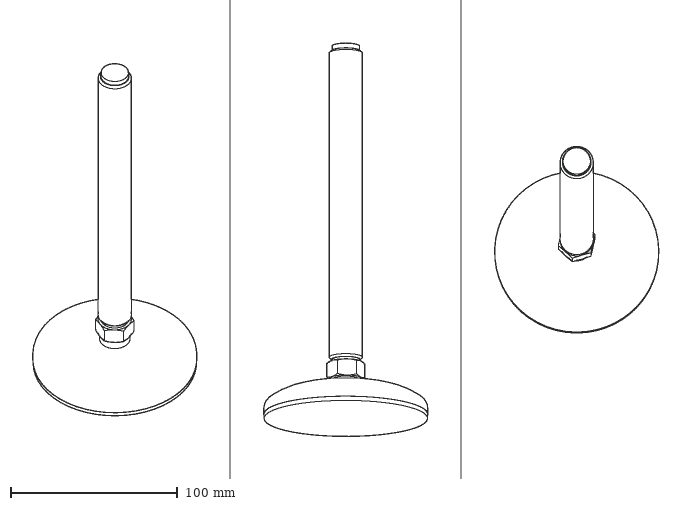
import cadquery as cq
import math

TOTAL_HEIGHT = 229.2

PAD_DIAMETER = 98.62
BASE_DIAMETER = 98.2
BASE_HEIGHT = 2.6
RIM_TOP = 6.0
SHOULDER_DIAMETER = 92.2
SHOULDER_TOP = 11.5
PAD_FLAT_DIAMETER = 44.6
PAD_HEIGHT = 19.0

CONE_DIAMETER = 18.32
STEM_DIAMETER = 14.3
CONE_TOP = 22.5

HEX_SIDES = 6
HEX_ACROSS_FLATS = 20.0
HEX_BOTTOM = 24.5
HEX_TOP = 34.5
HEX_CHAMFER_ANGLE = 30.0

SPINDLE_DIAMETER = 20.0
SPINDLE_END_DIAMETER = 16.5
SPINDLE_CHAMFER = 1.35
SPINDLE_BOTTOM = 36.3
TOP_PIN_LENGTH = 3.0


def revolve_about_z(profile):
    """Turn a closed half profile drawn on the XZ plane around the Z axis."""
    return profile.revolve(360, (0, 0, 0), (0, 1, 0))


def make_pad():
    """Revolve the pad; the dome starts level and the shoulder meets the rim upright."""
    pad_radius = PAD_DIAMETER / 2
    shoulder_radius = SHOULDER_DIAMETER / 2
    shoulder = (shoulder_radius, SHOULDER_TOP)
    dome_edge = (PAD_FLAT_DIAMETER / 2, PAD_HEIGHT)
    dome_drop = PAD_HEIGHT - SHOULDER_TOP
    dome_run = shoulder_radius - PAD_FLAT_DIAMETER / 2
    dome_radius = (dome_run**2 + dome_drop**2) / (2 * dome_drop)
    profile = (
        cq.Workplane("XZ")
        .lineTo(BASE_DIAMETER / 2, 0)
        .lineTo(BASE_DIAMETER / 2, BASE_HEIGHT)
        .lineTo(pad_radius, BASE_HEIGHT)
        .lineTo(pad_radius, RIM_TOP)
        .tangentArcPoint(shoulder, relative=False)
        .radiusArc(dome_edge, -dome_radius)
        .lineTo(0, PAD_HEIGHT)
        .close()
    )
    return revolve_about_z(profile)


def make_stem():
    """Revolve the cone and the short cylinder that carry the hexagon."""
    profile = (
        cq.Workplane("XZ")
        .moveTo(0, PAD_HEIGHT)
        .lineTo(CONE_DIAMETER / 2, PAD_HEIGHT)
        .lineTo(STEM_DIAMETER / 2, CONE_TOP)
        .lineTo(STEM_DIAMETER / 2, HEX_BOTTOM)
        .lineTo(0, HEX_BOTTOM)
        .close()
    )
    return revolve_about_z(profile)


def make_hexagon():
    """Hexagonal prism whose corners are turned off by a cone at both ends."""
    half_sector = 180 / HEX_SIDES
    across_corners = HEX_ACROSS_FLATS / math.cos(math.radians(half_sector))
    corner_radius = across_corners / 2
    flat_radius = HEX_ACROSS_FLATS / 2
    corner_drop = (corner_radius - flat_radius) * math.tan(math.radians(HEX_CHAMFER_ANGLE))
    height = HEX_TOP - HEX_BOTTOM
    prism = (
        cq.Workplane("XY", origin=(0, 0, HEX_BOTTOM))
        .polygon(HEX_SIDES, across_corners)
        .extrude(height)
        .rotate((0, 0, 0), (0, 0, 1), half_sector)
    )
    turned_profile = (
        cq.Workplane("XZ")
        .moveTo(0, HEX_BOTTOM)
        .lineTo(flat_radius, HEX_BOTTOM)
        .lineTo(corner_radius, HEX_BOTTOM + corner_drop)
        .lineTo(corner_radius, HEX_TOP - corner_drop)
        .lineTo(flat_radius, HEX_TOP)
        .lineTo(0, HEX_TOP)
        .close()
    )
    return prism.intersect(revolve_about_z(turned_profile))


def make_spindle():
    """Revolve the spindle with its lower neck, 45-degree end chamfers and top pin."""
    radius = SPINDLE_DIAMETER / 2
    chamfer_radius = radius - SPINDLE_CHAMFER
    end_radius = SPINDLE_END_DIAMETER / 2
    shoulder_top = TOTAL_HEIGHT - TOP_PIN_LENGTH
    profile = (
        cq.Workplane("XZ")
        .moveTo(0, HEX_TOP)
        .lineTo(end_radius, HEX_TOP)
        .lineTo(end_radius, SPINDLE_BOTTOM)
        .lineTo(chamfer_radius, SPINDLE_BOTTOM)
        .lineTo(radius, SPINDLE_BOTTOM + SPINDLE_CHAMFER)
        .lineTo(radius, shoulder_top - SPINDLE_CHAMFER)
        .lineTo(chamfer_radius, shoulder_top)
        .lineTo(end_radius, shoulder_top)
        .lineTo(end_radius, TOTAL_HEIGHT)
        .lineTo(0, TOTAL_HEIGHT)
        .close()
    )
    return revolve_about_z(profile)


result = make_pad().union(make_stem()).union(make_hexagon()).union(make_spindle())